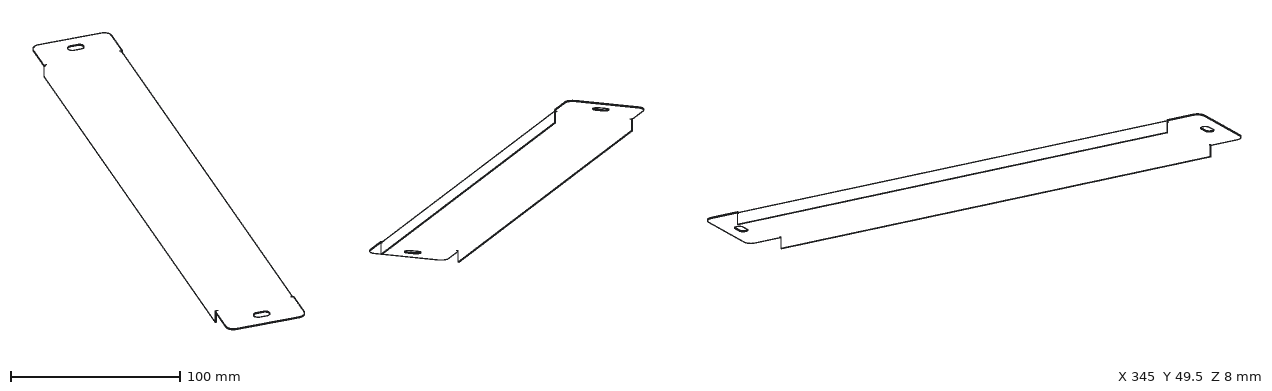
import cadquery as cq

length = 345.0
width = 49.5
height = 8.0
thickness = 0.8
corner_radius = 5.0

end_tab_length = 23.0
flange_length = length - 2 * end_tab_length
bend_outer_radius = 1.7
bend_inner_radius = bend_outer_radius - thickness

slot_length = 10.0
slot_width = 5.5
slot_inset = 10.5


def make_plate():
    """Flat plate with rounded corners, its top face at Z = 0."""
    return (
        cq.Workplane("XY")
        .workplane(offset=-thickness)
        .rect(length, width)
        .extrude(thickness)
        .edges("|Z")
        .fillet(corner_radius)
    )


def make_channel_block(block_width, top, edge_radius):
    """Block along the flanged length with rounded upper long edges."""
    return (
        cq.Workplane("XY")
        .box(flange_length, block_width, height + top, centered=(True, True, False))
        .translate((0, 0, -height))
        .edges("|X and >Z")
        .fillet(edge_radius)
    )


def make_channel():
    """Folded U-section of constant sheet thickness, open at the bottom."""
    outer = make_channel_block(width, 0, bend_outer_radius)
    inner = make_channel_block(width - 2 * thickness, -thickness, bend_inner_radius)
    return outer.cut(inner)


def cut_flanged_length(plate):
    """Remove the middle of the plate, where the folded channel takes its place."""
    middle = cq.Workplane("XY").box(flange_length, width, 2 * thickness)
    return plate.cut(middle)


def make_slots():
    """One slot cutter through the tab at each end."""
    slot_offset = length / 2 - slot_inset
    return (
        cq.Workplane("XY")
        .workplane(offset=-thickness)
        .pushPoints([(-slot_offset, 0), (slot_offset, 0)])
        .slot2D(slot_length, slot_width, angle=90)
        .extrude(thickness)
    )


end_tabs = cut_flanged_length(make_plate())
result = make_channel().union(end_tabs).cut(make_slots())